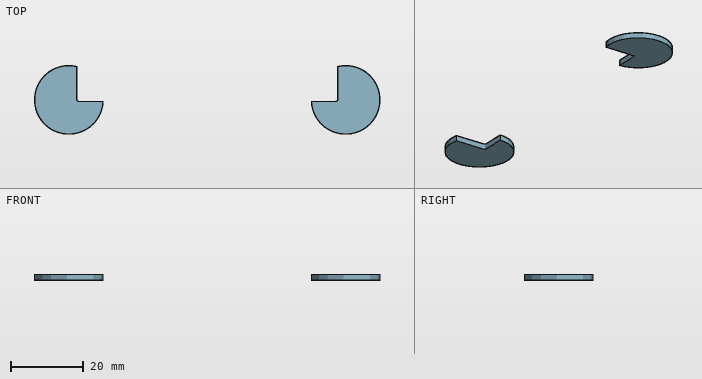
import cadquery as cq

overall_length = 95.5
disc_diameter = 19.0
thickness = 1.6
notch_wall_offset = 2.2
notch_floor_offset = -0.4
notch_corner_radius = 0.5

disc_radius = disc_diameter / 2
disc_centre_x = (overall_length - disc_diameter) / 2
notch_size = disc_diameter


def make_notch_cutter():
    """Square cutter for the +X, +Y quarter, with its inner vertical edge rounded."""
    return (
        cq.Workplane("XY")
        .box(notch_size, notch_size, thickness, centered=False)
        .edges("|Z and <X and <Y")
        .fillet(notch_corner_radius)
        .translate((notch_wall_offset, notch_floor_offset, 0))
    )


def make_notched_disc(side):
    """Notched disc on the -X (side = -1) or +X (side = 1) end, its notch facing inward."""
    disc = cq.Workplane("XY").circle(disc_radius).extrude(thickness)
    disc = disc.cut(make_notch_cutter())
    if side > 0:
        disc = disc.mirror("YZ")
    return disc.translate((side * disc_centre_x, 0, 0))


notched_discs = [make_notched_disc(side).val() for side in (-1, 1)]

result = cq.Compound.makeCompound(notched_discs)